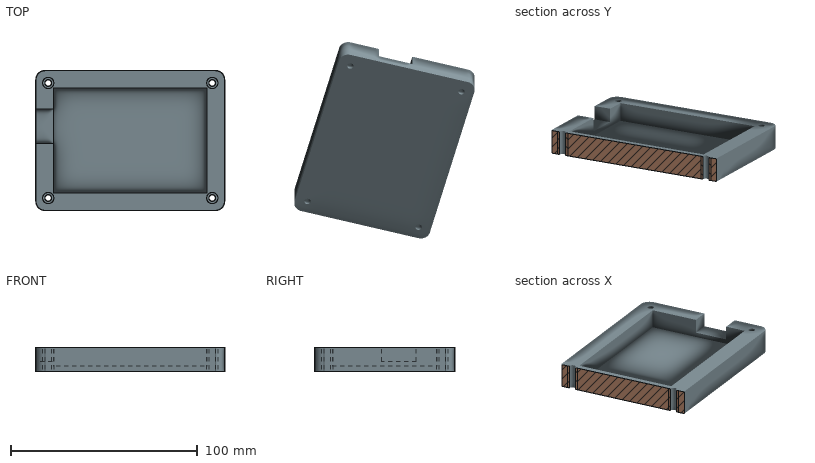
import cadquery as cq

TRAY_LENGTH = 101.31
TRAY_WIDTH = 75.09
TRAY_HEIGHT = 13.0
CORNER_RADIUS = 5.0

WALL = 9.5
FLOOR = 3.0
POCKET_LENGTH = TRAY_LENGTH - 2 * WALL
POCKET_WIDTH = TRAY_WIDTH - 2 * WALL
POCKET_DEPTH = TRAY_HEIGHT - FLOOR

NOTCH_WIDTH = 18.5
NOTCH_DEPTH = 7.5
NOTCH_CENTRE_FROM_BACK = 30.0
NOTCH_CENTRE_Y = TRAY_WIDTH / 2 - NOTCH_CENTRE_FROM_BACK

SLEEVE_DIAMETER = 6.0
SCREW_HOLE_DIAMETER = 3.4
SLEEVE_INSET = 6.7
SLEEVE_X = TRAY_LENGTH / 2 - SLEEVE_INSET
SLEEVE_Y = TRAY_WIDTH / 2 - SLEEVE_INSET
SLEEVE_CENTRES = [(x, y) for x in (-SLEEVE_X, SLEEVE_X) for y in (-SLEEVE_Y, SLEEVE_Y)]


def cut_box(length, width, depth, centre_x, centre_y):
    """Box that reaches down from the tray's top face by the given depth."""
    return (
        cq.Workplane("XY", origin=(centre_x, centre_y, TRAY_HEIGHT - depth))
        .box(length, width, depth, centered=(True, True, False))
    )


def make_tray():
    block = (
        cq.Workplane("XY")
        .box(TRAY_LENGTH, TRAY_WIDTH, TRAY_HEIGHT, centered=(True, True, False))
        .edges("|Z")
        .fillet(CORNER_RADIUS)
    )
    pocket = cut_box(POCKET_LENGTH, POCKET_WIDTH, POCKET_DEPTH, 0, 0)
    notch_centre_x = (WALL - TRAY_LENGTH) / 2
    notch = cut_box(WALL, NOTCH_WIDTH, NOTCH_DEPTH, notch_centre_x, NOTCH_CENTRE_Y)
    sleeve_seats = (
        cq.Workplane("XY")
        .pushPoints(SLEEVE_CENTRES)
        .circle(SLEEVE_DIAMETER / 2)
        .extrude(TRAY_HEIGHT)
    )
    return block.cut(pocket).cut(notch).cut(sleeve_seats)


def make_sleeve(centre):
    return (
        cq.Workplane("XY")
        .center(*centre)
        .circle(SLEEVE_DIAMETER / 2)
        .circle(SCREW_HOLE_DIAMETER / 2)
        .extrude(TRAY_HEIGHT)
    )


tray = make_tray()
sleeves = [make_sleeve(centre) for centre in SLEEVE_CENTRES]

result = cq.Compound.makeCompound([tray.val(), *[sleeve.val() for sleeve in sleeves]])